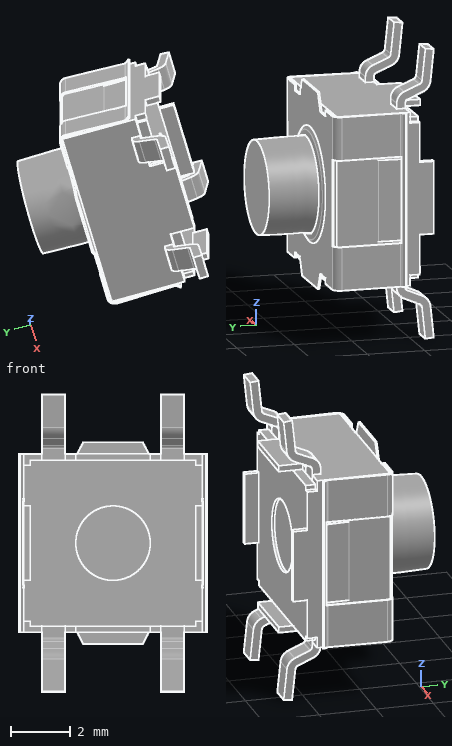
import cadquery as cq
import math


half_width = 3.0
block_depth = 2.56
plate_depth = 2.9
rib_depth = 3.39
plate_half = 2.79
plate_corner = 2.63
rib_length = 2.51
rib_thickness = half_width - plate_half
recess_diameter = 2.51
recess_depth = 0.1

wedge_length = 2.81
wedge_start = -1.44
wedge_height = 0.04

sheet = 0.06
cover_back = 0.12
cover_side = 3.12
cover_bend = 0.26
lip_start = -2.2
lip_side = half_width + sheet
lip_reach = 3.17
lip_bend = 0.07
lip_angle = math.radians(38)
window_length = 2.99
window_end = -2.25
ear_reach = 3.4
ear_tip_width = 2.01
ear_root_width = 2.63
relief_width = 3.91
relief_depth = 0.2
collar_radius = 2.0
collar_shoulder = (1.87, 0.2)
collar_mouth = (1.68, 0.26)

button_height = 1.98
button_top_radius = 1.61
button_middle_radius = 1.64
button_foot_radius = 1.64

terminal_width = 0.78
terminal_spacing = 4.0
terminal_thickness = 0.3
terminal_places = [-terminal_spacing / 2, terminal_spacing / 2]
terminal_end = 5.02
first_bend_z = 3.19
first_bend_radius = 0.12
second_bend_radius = 0.15
slope_angle = math.radians(67)
foot_angle = math.radians(6)
slope_length = 0.58


def box(x_range, y_range, z_range):
    """A box between two limits on each axis."""
    size = [high - low for low, high in (x_range, y_range, z_range)]
    corner = cq.Vector(x_range[0], y_range[0], z_range[0])
    return cq.Workplane(cq.Solid.makeBox(*size, corner))


def centred_box(width, y_range, height):
    """A box centred on the Y axis."""
    return box((-width / 2, width / 2), y_range, (-height / 2, height / 2))


def mirrored_pair(solid, plane):
    """The solid and its mirror image in one workplane."""
    return solid.union(solid.mirror(plane))


def make_wedge():
    """The +X snap wedge: a ramp that rises towards the lip."""
    ramp = [
        (half_width, wedge_start),
        (half_width + wedge_height, window_end),
        (half_width, window_end),
    ]
    return cq.Workplane("XY").polyline(ramp).close().extrude(wedge_length / 2, both=True)


def make_housing():
    width = 2 * half_width
    body = centred_box(width, (-block_depth, 0), width)

    plate_range = (-plate_depth, -block_depth)
    body = body.union(centred_box(2 * plate_half, plate_range, 2 * plate_half))
    body = body.union(centred_box(width, plate_range, 2 * plate_corner))

    rib = box(
        (-rib_length / 2, rib_length / 2),
        (-rib_depth, -block_depth),
        (half_width - rib_thickness, half_width),
    )
    for quarter in range(4):
        body = body.union(rib.rotate((0, 0, 0), (0, 1, 0), 90 * quarter))

    body = body.union(mirrored_pair(make_wedge(), "YZ"))

    recess = (
        cq.Workplane("XZ", origin=(0, -plate_depth, 0))
        .circle(recess_diameter / 2)
        .extrude(-recess_depth)
    )
    body = body.cut(recess)

    for x in terminal_places:
        channel = box(
            (x - terminal_width / 2, x + terminal_width / 2),
            (-block_depth, -block_depth + terminal_thickness),
            (-half_width, half_width),
        )
        body = body.cut(channel)
    return body


def make_bent_sheet():
    """The +X half of the bent cover sheet, with its side flap and lip."""
    bend_x = cover_side - cover_bend
    bend_y = cover_back - cover_bend
    diagonal = math.sqrt(0.5)
    inner_bend = cover_bend - sheet

    def on_lip_bend(radius, angle):
        """Point of the lip bend where the flap has turned outwards by angle."""
        return (
            lip_side + lip_bend - radius * math.cos(angle),
            lip_start - radius * math.sin(angle),
        )

    lip_root = on_lip_bend(lip_bend, lip_angle)
    tip_y = lip_root[1] - (lip_reach - lip_root[0]) / math.tan(lip_angle)
    lip_inner_bend = lip_bend + sheet
    outline = (
        cq.Workplane("XY")
        .moveTo(0, cover_back)
        .lineTo(bend_x, cover_back)
        .threePointArc(
            (bend_x + cover_bend * diagonal, bend_y + cover_bend * diagonal),
            (cover_side, bend_y),
        )
        .lineTo(lip_side, lip_start)
        .threePointArc(on_lip_bend(lip_bend, lip_angle / 2), lip_root)
        .lineTo(lip_reach, tip_y)
        .lineTo(lip_reach - sheet * math.cos(lip_angle), tip_y - sheet * math.sin(lip_angle))
        .lineTo(*on_lip_bend(lip_inner_bend, lip_angle))
        .threePointArc(
            on_lip_bend(lip_inner_bend, lip_angle / 2),
            (lip_side - sheet, lip_start),
        )
        .lineTo(cover_side - sheet, bend_y)
        .threePointArc(
            (bend_x + inner_bend * diagonal, bend_y + inner_bend * diagonal),
            (bend_x, cover_back - sheet),
        )
        .lineTo(0, cover_back - sheet)
        .close()
    )
    return outline.extrude(half_width, both=True)


def make_ear():
    """The flat +Z ear of the cover, tapering outwards."""
    root_z = half_width - relief_depth
    outline = [
        (-ear_root_width / 2, root_z),
        (-ear_tip_width / 2, ear_reach),
        (ear_tip_width / 2, ear_reach),
        (ear_root_width / 2, root_z),
    ]
    plane = cq.Workplane("XZ", origin=(0, cover_back, 0))
    return plane.polyline(outline).close().extrude(sheet)


def make_collar():
    """The domed ring around the button, pressed out of the sheet."""
    outline = [
        (collar_radius, cover_back),
        collar_shoulder,
        collar_mouth,
        (collar_mouth[0], collar_mouth[1] - sheet),
        (collar_shoulder[0], collar_shoulder[1] - sheet),
        (collar_radius, cover_back - sheet),
    ]
    return cq.Workplane("XY").polyline(outline).close().revolve(360, (0, 0), (0, 1))


def make_cover():
    cover = mirrored_pair(make_bent_sheet(), "YZ")

    relief = box(
        (-relief_width / 2, relief_width / 2),
        (0, 2 * cover_back),
        (half_width - relief_depth, half_width),
    )
    cover = cover.cut(mirrored_pair(relief, "XY"))
    cover = cover.union(mirrored_pair(make_ear(), "XY"))

    opening = cq.Workplane("XZ").circle(collar_radius).extrude(-2 * cover_back)
    cover = cover.cut(opening).union(make_collar())

    window = box(
        (cover_side - cover_bend, 2 * cover_side),
        (window_end, 2 * cover_back),
        (-window_length / 2, window_length / 2),
    )
    return cover.cut(mirrored_pair(window, "YZ"))


def make_button():
    outline = (
        cq.Workplane("YZ")
        .lineTo(0, button_foot_radius)
        .threePointArc(
            (button_height / 2, button_middle_radius),
            (button_height, button_top_radius),
        )
        .lineTo(button_height, 0)
        .close()
    )
    return outline.revolve(360, (0, 0), (1, 0))


def make_terminal(x):
    """A strip through the housing with a bent leg at each end."""
    front = -block_depth
    back = front + terminal_thickness
    first_outer = first_bend_radius + terminal_thickness
    second_outer = second_bend_radius + terminal_thickness

    first_centre = (front - first_bend_radius, first_bend_z)
    centre_distance = first_outer + second_bend_radius
    second_centre = (
        first_centre[0]
        + centre_distance * math.cos(slope_angle)
        - slope_length * math.sin(slope_angle),
        first_centre[1]
        + centre_distance * math.sin(slope_angle)
        + slope_length * math.cos(slope_angle),
    )
    foot_rise = terminal_end - second_centre[1] + second_bend_radius * math.sin(foot_angle)
    foot_length = foot_rise / math.cos(foot_angle)

    def on_bend(centre, radius, angle):
        """Point of a bend where the strip has turned by angle away from +Z."""
        return (centre[0] + radius * math.cos(angle), centre[1] + radius * math.sin(angle))

    def foot_tip(radius):
        """Free end of the foot face that leaves the second bend with this radius."""
        y, z = on_bend(second_centre, -radius, foot_angle)
        return (y - foot_length * math.sin(foot_angle), z + foot_length * math.cos(foot_angle))

    half_slope = slope_angle / 2
    mean_angle = (slope_angle + foot_angle) / 2
    leg = (
        cq.Workplane("YZ", origin=(x, 0, 0))
        .moveTo(front, 0)
        .lineTo(front, first_bend_z)
        .threePointArc(
            on_bend(first_centre, first_bend_radius, half_slope),
            on_bend(first_centre, first_bend_radius, slope_angle),
        )
        .lineTo(*on_bend(second_centre, -second_outer, slope_angle))
        .threePointArc(
            on_bend(second_centre, -second_outer, mean_angle),
            on_bend(second_centre, -second_outer, foot_angle),
        )
        .lineTo(*foot_tip(second_outer))
        .lineTo(*foot_tip(second_bend_radius))
        .lineTo(*on_bend(second_centre, -second_bend_radius, foot_angle))
        .threePointArc(
            on_bend(second_centre, -second_bend_radius, mean_angle),
            on_bend(second_centre, -second_bend_radius, slope_angle),
        )
        .lineTo(*on_bend(first_centre, first_outer, slope_angle))
        .threePointArc(
            on_bend(first_centre, first_outer, half_slope),
            (back, first_bend_z),
        )
        .lineTo(back, 0)
        .close()
        .extrude(terminal_width / 2, both=True)
    )
    return mirrored_pair(leg, "XY")


housing = make_housing()
cover = make_cover()
button = make_button()
terminals = [make_terminal(x) for x in terminal_places]

result = cq.Compound.makeCompound(
    [housing.val(), cover.val(), button.val(), *[terminal.val() for terminal in terminals]]
)